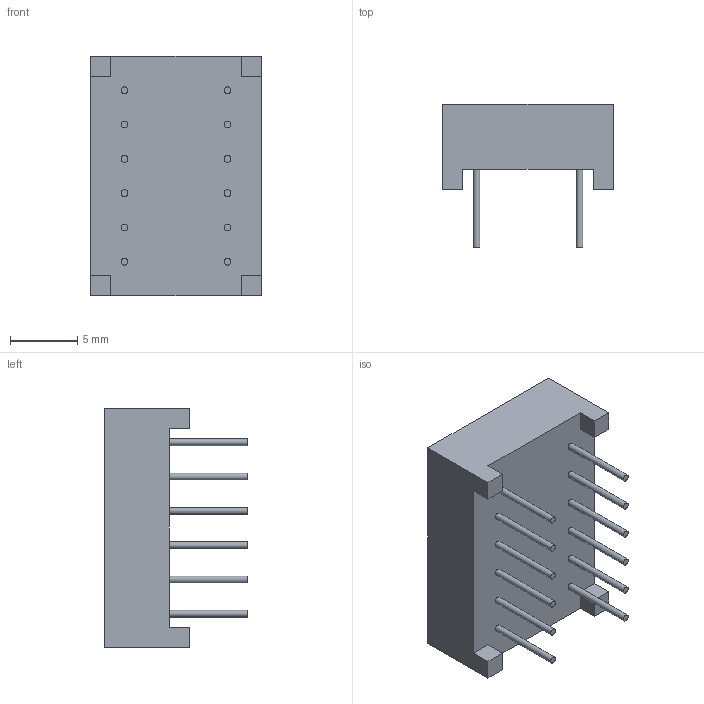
import cadquery as cq

body_width = 12.66
body_height = 17.74
total_depth = 10.6
body_depth = 4.8

foot_size = 1.5
foot_length = 1.5

pin_diameter = 0.5
pin_pitch = 2.54
pins_per_column = 6
column_spacing = 3 * pin_pitch
pin_length = total_depth - body_depth


def pin_face():
    """Workplane on the pin face (Y = 0), facing -Y, with local axes X and Z."""
    return cq.Workplane("XZ")


def make_body():
    return pin_face().rect(body_width, body_height).extrude(-body_depth)


def make_feet():
    return (
        pin_face()
        .rect(body_width - foot_size, body_height - foot_size, forConstruction=True)
        .vertices()
        .rect(foot_size, foot_size)
        .extrude(foot_length)
    )


def make_pins():
    return (
        pin_face()
        .rarray(column_spacing, pin_pitch, 2, pins_per_column)
        .circle(pin_diameter / 2)
        .extrude(pin_length)
    )


result = make_body().union(make_feet()).union(make_pins())